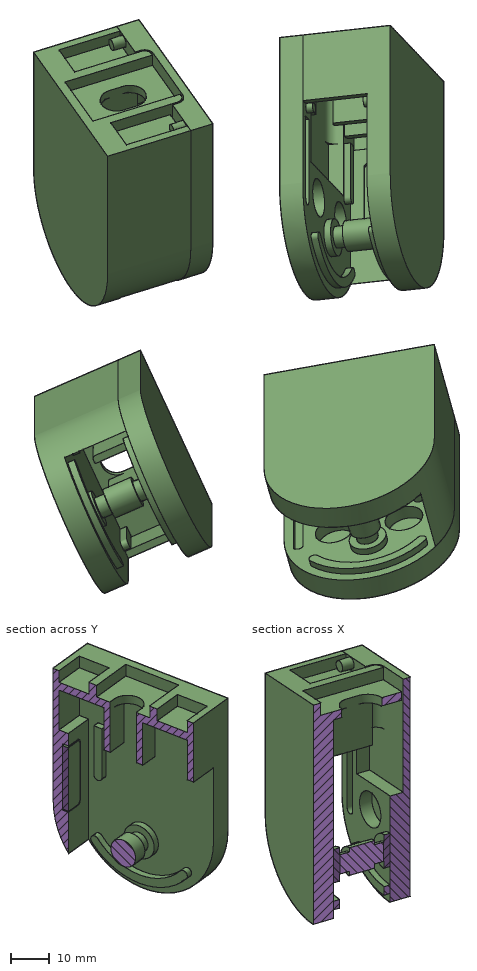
import cadquery as cq
import math

HEIGHT = 63.0
WIDTH = 45.0
DEPTH = 30.0
HALF_WIDTH = WIDTH / 2
BACK_Y = DEPTH / 2
JAW_THICKNESS = 6.3
JAW_FACE_Y = BACK_Y - JAW_THICKNESS
RIDGE_HEIGHT = 1.8
RIDGE_FACE_Y = JAW_FACE_Y - RIDGE_HEIGHT

HEAD_BOTTOM_Z = 45.0
SIDE_WALL = 2.0
POCKET_DEPTH = 3.5
FLOOR_THICKNESS = 2.5
FLOOR_TOP_Z = HEIGHT - POCKET_DEPTH
FLOOR_BOTTOM_Z = FLOOR_TOP_Z - FLOOR_THICKNESS
FIT_GAP = 0.45

TONGUE_HALF_WIDTH = 10.95
TONGUE_BACK_Y = 12.3
TONGUE_CORNER = 2.0
RECESS_BACK_Y = TONGUE_BACK_Y + FIT_GAP
RECESS_HALF_WIDTH = TONGUE_HALF_WIDTH + FIT_GAP

CENTRE_POCKET_HALF_WIDTH = 8.45
CENTRE_POCKET_FRONT_Y = -12.6
SCREW_SLOT_WIDTH = 8.45
SCREW_SLOT_LENGTH = 12.2
RIB_THICKNESS = 2.0
RIB_CORNER = 1.0
RIB_LENGTH = 12.1
RIB_BOTTOM_Z = 44.1
RIB_INNER_X = SCREW_SLOT_WIDTH / 2

END_WALL_X = 17.5
PAD_WIDTH = 9.8
PAD_BOTTOM_Z = 21.2
PAD_TOP_Z = 40.65
PAD_THICKNESS = 1.9
PAD_CORNER = 1.0
PAD_SIDE_GAP = 0.2

TRACK_WIDTH = 2.6
TRACK_RADIUS = 18.7
ARC_END_X = 14.2
GROOVE_BOTTOM_Z = 17.8
GROOVE_TOP_Z = 41.6
GROOVE_DEPTH = 1.9

BLIND_HOLE_RADIUS = 5.0
BLIND_HOLE_X = 9.2
BLIND_HOLE_Z = 22.95
BLIND_HOLE_DEPTH = 3.8
WINDOW_LEFT_X = -15.55
WINDOW_BOTTOM_Z = 30.55

PEG_X = 18.4
PEG_Z = 61.2
PEG_LENGTH = 3.45
PEG_ROOT_RADIUS = 1.65
PEG_TIP_RADIUS = 1.5

STUB_BOTTOM_Z = 42.9
STRIP_X = 13.15
STRIP_BOTTOM_Z = 28.85

PIN_Z = 15.05
PIN_RADIUS = 2.85
PIN_COLLAR_RADIUS = 4.05
PIN_COLLAR_LENGTH = 7.9
DISC_RADIUS = 4.85


def box(x0, x1, y0, y1, z0, z1):
    return cq.Workplane("XY").box(x1 - x0, y1 - y0, z1 - z0, centered=False).translate((x0, y0, z0))


def profile(y):
    """XZ workplane at depth y with its normal towards -Y."""
    return cq.Workplane(cq.Plane(origin=(0, y, 0), xDir=(1, 0, 0), normal=(0, -1, 0)))


def along_y(sketch, y0, y1):
    """Extrude a sketch drawn on profile(y0) as far as y1."""
    return sketch.extrude(-(y1 - y0))


def d_plate(y0, y1):
    """Plate with a square top and a semicircular lower end."""
    sketch = (
        profile(y0)
        .moveTo(-HALF_WIDTH, HEIGHT)
        .lineTo(-HALF_WIDTH, HALF_WIDTH)
        .threePointArc((0, 0), (HALF_WIDTH, HALF_WIDTH))
        .lineTo(HALF_WIDTH, HEIGHT)
        .close()
    )
    return along_y(sketch, y0, y1)


def disc(x, z, radius, y0, y1):
    return along_y(profile(y0).center(x, z).circle(radius), y0, y1)


def upright(x, z0, z1, y0, y1):
    """Vertical bar of track width with a round lower end and a flat top."""
    radius = TRACK_WIDTH / 2
    sketch = (
        profile(y0)
        .moveTo(x - radius, z1)
        .lineTo(x - radius, z0 + radius)
        .threePointArc((x, z0), (x + radius, z0 + radius))
        .lineTo(x + radius, z1)
        .close()
    )
    return along_y(sketch, y0, y1)


def make_head():
    """Hollow bridge with two side pockets, a tongue and a pair of ribs."""
    head = box(-HALF_WIDTH, HALF_WIDTH, -JAW_FACE_Y, JAW_FACE_Y, HEAD_BOTTOM_Z, HEIGHT)
    tongue = box(-TONGUE_HALF_WIDTH, TONGUE_HALF_WIDTH, 0, TONGUE_BACK_Y, FLOOR_BOTTOM_Z, HEIGHT)
    tongue = tongue.edges("|Z and >Y").fillet(TONGUE_CORNER)
    inner = HALF_WIDTH - SIDE_WALL
    hollow = box(-inner, inner, -JAW_FACE_Y, JAW_FACE_Y, HEAD_BOTTOM_Z, FLOOR_BOTTOM_Z)
    gap = box(-inner, inner, JAW_FACE_Y - FIT_GAP, JAW_FACE_Y, FLOOR_BOTTOM_Z, HEIGHT)
    head = head.cut(hollow).cut(gap).union(tongue)
    for side in (-1, 1):
        x0, x1 = sorted((side * TONGUE_HALF_WIDTH, side * inner))
        head = head.cut(box(x0, x1, -JAW_FACE_Y, JAW_FACE_Y, FLOOR_TOP_Z, HEIGHT))
        x0, x1 = sorted((side * RIB_INNER_X, side * (RIB_INNER_X + RIB_THICKNESS)))
        rib = box(x0, x1, -RIB_LENGTH / 2, RIB_LENGTH / 2, RIB_BOTTOM_Z, FLOOR_BOTTOM_Z)
        outer_edges = "|Z and >X" if side > 0 else "|Z and <X"
        head = head.union(rib.edges(outer_edges).fillet(RIB_CORNER))
    return head


def make_end_wall():
    """Wall closing the +X end between the jaws, with a recess for the pad."""
    wall = d_plate(-JAW_FACE_Y, JAW_FACE_Y)
    wall = wall.intersect(box(END_WALL_X, HALF_WIDTH, -BACK_Y, BACK_Y, 0, HEAD_BOTTOM_Z))
    half = PAD_WIDTH / 2 + PAD_SIDE_GAP
    recess = box(
        END_WALL_X, END_WALL_X + PAD_THICKNESS, -half, half, PAD_BOTTOM_Z - PAD_SIDE_GAP, PAD_TOP_Z + FIT_GAP
    )
    return wall.cut(recess.edges("|X").fillet(PAD_CORNER + PAD_SIDE_GAP))


def make_housing():
    """Front jaw, head and end wall in one piece, with centre pocket, screw slot and stub."""
    housing = d_plate(-BACK_Y, -JAW_FACE_Y).union(make_head()).union(make_end_wall())
    housing = housing.cut(
        box(
            -CENTRE_POCKET_HALF_WIDTH,
            CENTRE_POCKET_HALF_WIDTH,
            CENTRE_POCKET_FRONT_Y,
            TONGUE_BACK_Y,
            FLOOR_TOP_Z,
            HEIGHT,
        )
    )
    slot = (
        cq.Workplane("XY", origin=(0, 0, FLOOR_BOTTOM_Z))
        .slot2D(SCREW_SLOT_LENGTH, SCREW_SLOT_WIDTH, 90)
        .extrude(FLOOR_THICKNESS)
    )
    stub = upright(-TRACK_RADIUS, STUB_BOTTOM_Z, FLOOR_BOTTOM_Z, -JAW_FACE_Y, -RIDGE_FACE_Y)
    return housing.cut(slot).union(stub)


def make_back_plate():
    """Rear jaw with the tongue recess, blind features, a short stub and two pegs."""
    plate = d_plate(JAW_FACE_Y, BACK_Y)
    recess = box(-RECESS_HALF_WIDTH, RECESS_HALF_WIDTH, 0, RECESS_BACK_Y, HEAD_BOTTOM_Z, HEIGHT)
    plate = plate.cut(recess.edges("|Z and >Y").fillet(TONGUE_CORNER + FIT_GAP))
    plate = plate.cut(
        box(WINDOW_LEFT_X, RECESS_HALF_WIDTH, JAW_FACE_Y, RECESS_BACK_Y, WINDOW_BOTTOM_Z, HEAD_BOTTOM_Z)
    )
    plate = plate.cut(
        upright(-TRACK_RADIUS, GROOVE_BOTTOM_Z, GROOVE_TOP_Z, JAW_FACE_Y, JAW_FACE_Y + GROOVE_DEPTH)
    )
    stub_z = STUB_BOTTOM_Z + TRACK_WIDTH / 2
    plate = plate.union(disc(-TRACK_RADIUS, stub_z, TRACK_WIDTH / 2, RIDGE_FACE_Y, JAW_FACE_Y))
    for side in (-1, 1):
        hole_end_y = JAW_FACE_Y + BLIND_HOLE_DEPTH
        plate = plate.cut(disc(side * BLIND_HOLE_X, BLIND_HOLE_Z, BLIND_HOLE_RADIUS, JAW_FACE_Y, hole_end_y))
        peg = cq.Solid.makeCone(
            PEG_ROOT_RADIUS,
            PEG_TIP_RADIUS,
            PEG_LENGTH,
            cq.Vector(side * PEG_X, JAW_FACE_Y, PEG_Z),
            cq.Vector(0, -1, 0),
        )
        plate = plate.union(cq.Workplane(peg))
    return plate


def make_pad():
    """Rounded pad seated in the end wall, flush with its face."""
    half = PAD_WIDTH / 2
    pad = box(END_WALL_X, END_WALL_X + PAD_THICKNESS, -half, half, PAD_BOTTOM_Z, PAD_TOP_Z)
    return pad.edges("|X").fillet(PAD_CORNER)


def make_pin():
    """Cross pin with a thicker collar at mid length."""
    pin = disc(0, PIN_Z, PIN_RADIUS, -RIDGE_FACE_Y, RIDGE_FACE_Y)
    return pin.union(disc(0, PIN_Z, PIN_COLLAR_RADIUS, -PIN_COLLAR_LENGTH / 2, PIN_COLLAR_LENGTH / 2))


def make_arc_ridge(y0, y1):
    """Round-ended ridge along the lower part of the track."""
    half = TRACK_WIDTH / 2
    outer = TRACK_RADIUS + half
    inner = TRACK_RADIUS - half
    sine = ARC_END_X / TRACK_RADIUS
    cosine = math.sqrt(1 - sine**2)

    def on_track(radius, side):
        return (side * radius * sine, HALF_WIDTH - radius * cosine)

    def end_tip(side):
        x, z = on_track(TRACK_RADIUS, side)
        return (x + side * half * cosine, z + half * sine)

    sketch = (
        profile(y0)
        .moveTo(*on_track(outer, -1))
        .threePointArc((0, HALF_WIDTH - outer), on_track(outer, 1))
        .threePointArc(end_tip(1), on_track(inner, 1))
        .threePointArc((0, HALF_WIDTH - inner), on_track(inner, -1))
        .threePointArc(end_tip(-1), on_track(outer, -1))
        .close()
    )
    return along_y(sketch, y0, y1)


def make_bearing_disc(y0, y1):
    """Disc on a jaw face that meets one end of the cross pin."""
    return disc(0, PIN_Z, DISC_RADIUS, y0, y1)


def make_strip(y0, y1):
    """Upright strip on a jaw face, next to the end wall."""
    return upright(STRIP_X, STRIP_BOTTOM_Z, HEAD_BOTTOM_Z, y0, y1)


bodies = [make_housing(), make_back_plate(), make_pad(), make_pin()]

for face_y0, face_y1 in ((-JAW_FACE_Y, -RIDGE_FACE_Y), (RIDGE_FACE_Y, JAW_FACE_Y)):
    bodies.append(make_arc_ridge(face_y0, face_y1))
    bodies.append(make_bearing_disc(face_y0, face_y1))
    bodies.append(make_strip(face_y0, face_y1))

result = cq.Compound.makeCompound([body.solids().val() for body in bodies])